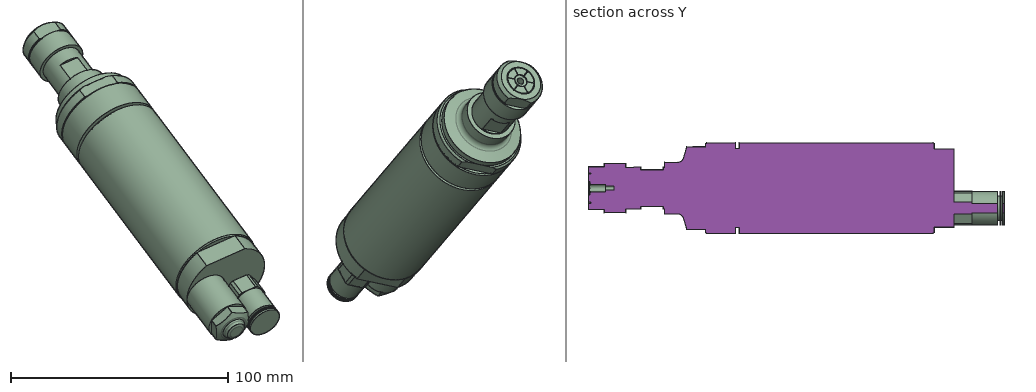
import cadquery as cq
import math


NUT_DIAMETER = 22.8
NUT_FACE_DIAMETER = 19.6
NUT_CHAMFER_LENGTH = 1.5
NUT_GROOVE_START = 6.7
NUT_GROOVE_END = 7.3
NUT_GROOVE_DIAMETER = 22.2
NUT_FLATS_WIDTH = 19.8
NUT_END = 17.3

COLLET_DIAMETER = 13.2
COLLET_OPENING_DIAMETER = 13.7
COLLET_GAP_DEPTH = 1.0
COLLET_HUB_DIAMETER = 6.0
COLLET_BORES = ((0.5, COLLET_HUB_DIAMETER), (7.9, 3.1), (11.8, 1.6))
COLLET_SLOT_COUNT = 6
COLLET_SLOT_WIDTH = 0.2
COLLET_SLOT_DEPTH = 4.0

SHAFT_DIAMETER = 19.5
SHAFT_FLATS_START = 24.2
SHAFT_FLATS_END = 34.4
SHAFT_FLATS_WIDTH = 17.0

NECK_START = 35.0
NECK_DIAMETER = 24.0
NECK_FILLET_START = 41.0
NECK_FILLET_RADIUS = 2.7
RING_START = 45.2
RING_DIAMETER = 38.3

CAP_START = 48.1
CAP_FACE_DIAMETER = 40.0
CAP_CHAMFER_LENGTH = 1.0
CAP_FLATS_WIDTH = 38.3

BODY_DIAMETER = 42.0
BODY_START = 53.8
BODY_END = 159.3
BODY_CHAMFER = 0.5
GROOVE_START = 67.8
GROOVE_END = 69.3
GROOVE_DIAMETER = 36.5

FLANGE_DIAMETER = 41.5
FLANGE_FLATS_WIDTH = 36.1
FLANGE_END = 168.3

INLET_Y = -10.6
INLET_Z = 0.0
INLET_DIAMETER = 19.8
INLET_END = 188.4
INLET_HEX_WIDTH = 16.9
INLET_HEX_CHAMFER_START = 192.3
INLET_HEX_CHAMFER_DIAMETER = 19.5
INLET_HEX_END = 193.9
INLET_HEX_FACE_DIAMETER = 13.2
INLET_TIP_PROFILE = (
    (INLET_HEX_END, INLET_HEX_FACE_DIAMETER),
    (194.0, 11.4),
    (194.8, 10.5),
    (196.0, 9.0),
    (196.5, 6.5),
)

HOSE_Y = 7.5
HOSE_Z = -9.2
HOSE_HEX_WIDTH = 15.7
HOSE_HEX_CORNER_DIAMETER = 17.3
HOSE_HEX_END = 176.5
HOSE_DIAMETER = 15.5
HOSE_BODY_END = 188.4
HOSE_STEM_DIAMETER = 11.4
HOSE_RINGS = ((189.3, 190.0), (190.5, 191.5))


def cylinder(start, end, diameter, y=0.0, z=0.0):
    """Cylinder along X between two stations."""
    return cq.Workplane("YZ", origin=(start, y, z)).circle(diameter / 2).extrude(end - start)


def turned(profile):
    """Solid of revolution about X through (station, diameter) pairs."""
    outline = [(x, diameter / 2) for x, diameter in profile]
    first_x = outline[0][0]
    last_x = outline[-1][0]
    return (
        cq.Workplane("XY")
        .polyline([(first_x, 0), *outline, (last_x, 0)])
        .close()
        .revolve(360, (0, 0, 0), (1, 0, 0))
    )


def tube(start, end, outer_diameter, inner_diameter):
    """Ring around the X axis between two stations."""
    return cylinder(start, end, outer_diameter).cut(cylinder(start, end, inner_diameter))


def hexagon(start, end, width, turn, y, z):
    """Hexagonal prism along X; at zero turn two corners point along Y."""
    corner_diameter = width / math.cos(math.pi / 6)
    prism = cq.Workplane("YZ", origin=(start, y, z)).polygon(6, corner_diameter).extrude(end - start)
    return prism.rotate((0, y, z), (1, y, z), turn)


def cut_flats(solid, start, end, width):
    """Mill two flats facing +Z and -Z, a given width apart."""
    blank = BODY_DIAMETER * 2
    length = end - start
    removed = (
        cq.Workplane("XY")
        .box(length, blank, blank)
        .cut(cq.Workplane("XY").box(length, blank, width))
        .translate((start + length / 2, 0, 0))
    )
    return solid.cut(removed)


def collet_nut():
    nut = turned([(0, NUT_FACE_DIAMETER), (NUT_CHAMFER_LENGTH, NUT_DIAMETER), (NUT_END, NUT_DIAMETER)])
    nut = nut.cut(tube(NUT_GROOVE_START, NUT_GROOVE_END, NUT_DIAMETER, NUT_GROOVE_DIAMETER))
    nut = cut_flats(nut, 0, NUT_GROOVE_END, NUT_FLATS_WIDTH)
    nut = nut.cut(tube(0, COLLET_GAP_DEPTH, COLLET_OPENING_DIAMETER, COLLET_DIAMETER))
    for depth, diameter in COLLET_BORES:
        nut = nut.cut(cylinder(0, depth, diameter))
    slot_length = (COLLET_DIAMETER - COLLET_HUB_DIAMETER) / 2
    slot_middle = (COLLET_DIAMETER + COLLET_HUB_DIAMETER) / 4
    slot = cq.Workplane("XY").box(COLLET_SLOT_DEPTH, slot_length, COLLET_SLOT_WIDTH)
    slot = slot.translate((COLLET_SLOT_DEPTH / 2, slot_middle, 0))
    for i in range(COLLET_SLOT_COUNT):
        nut = nut.cut(slot.rotate((0, 0, 0), (1, 0, 0), i * 360 / COLLET_SLOT_COUNT))
    return nut


def shaft():
    rod = cylinder(NUT_END, NECK_START, SHAFT_DIAMETER)
    return cut_flats(rod, SHAFT_FLATS_START, SHAFT_FLATS_END, SHAFT_FLATS_WIDTH)


def neck():
    neck_r = NECK_DIAMETER / 2
    ring_r = RING_DIAMETER / 2
    center_x = NECK_FILLET_START
    center_r = neck_r + NECK_FILLET_RADIUS
    dx = RING_START - center_x
    dr = ring_r - center_r
    reach = math.hypot(dx, dr)
    end_angle = math.atan2(dr, dx) - math.acos(NECK_FILLET_RADIUS / reach)
    mid_angle = (end_angle - math.pi / 2) / 2

    def on_fillet(angle):
        return (
            center_x + NECK_FILLET_RADIUS * math.cos(angle),
            center_r + NECK_FILLET_RADIUS * math.sin(angle),
        )

    return (
        cq.Workplane("XY")
        .moveTo(NECK_START, 0)
        .lineTo(NECK_START, neck_r)
        .lineTo(NECK_FILLET_START, neck_r)
        .threePointArc(on_fillet(mid_angle), on_fillet(end_angle))
        .lineTo(RING_START, ring_r)
        .lineTo(CAP_START, ring_r)
        .lineTo(CAP_START, 0)
        .close()
        .revolve(360, (0, 0, 0), (1, 0, 0))
    )


def front_cap():
    cap = turned([
        (CAP_START, CAP_FACE_DIAMETER),
        (CAP_START + CAP_CHAMFER_LENGTH, BODY_DIAMETER),
        (BODY_START, BODY_DIAMETER),
    ])
    return cut_flats(cap, CAP_START, BODY_START, CAP_FLATS_WIDTH)


def body():
    barrel = cylinder(BODY_START, BODY_END, BODY_DIAMETER).edges("%CIRCLE").chamfer(BODY_CHAMFER)
    return barrel.cut(tube(GROOVE_START, GROOVE_END, BODY_DIAMETER, GROOVE_DIAMETER))


def flange():
    disc = cylinder(BODY_END, FLANGE_END, FLANGE_DIAMETER)
    return cut_flats(disc, BODY_END, FLANGE_END, FLANGE_FLATS_WIDTH)


def inlet_fitting():
    sleeve = cylinder(FLANGE_END, INLET_END, INLET_DIAMETER, INLET_Y, INLET_Z)
    nut = hexagon(INLET_END, INLET_HEX_END, INLET_HEX_WIDTH, 90, INLET_Y, INLET_Z)
    chamfered = turned([
        (INLET_END, INLET_HEX_CHAMFER_DIAMETER),
        (INLET_HEX_CHAMFER_START, INLET_HEX_CHAMFER_DIAMETER),
        (INLET_HEX_END, INLET_HEX_FACE_DIAMETER),
    ]).translate((0, INLET_Y, INLET_Z))
    tip = turned(INLET_TIP_PROFILE).translate((0, INLET_Y, INLET_Z))
    return sleeve.union(nut.intersect(chamfered)).union(tip)


def hose_fitting():
    corner_trim = cylinder(FLANGE_END, HOSE_HEX_END, HOSE_HEX_CORNER_DIAMETER, HOSE_Y, HOSE_Z)
    nut = hexagon(FLANGE_END, HOSE_HEX_END, HOSE_HEX_WIDTH, 0, HOSE_Y, HOSE_Z).intersect(corner_trim)
    fitting = nut.union(cylinder(HOSE_HEX_END, HOSE_BODY_END, HOSE_DIAMETER, HOSE_Y, HOSE_Z))
    stem_end = HOSE_RINGS[-1][1]
    fitting = fitting.union(cylinder(HOSE_BODY_END, stem_end, HOSE_STEM_DIAMETER, HOSE_Y, HOSE_Z))
    for start, end in HOSE_RINGS:
        fitting = fitting.union(cylinder(start, end, HOSE_DIAMETER, HOSE_Y, HOSE_Z))
    return fitting


result = (
    collet_nut()
    .union(shaft())
    .union(neck())
    .union(front_cap())
    .union(body())
    .union(flange())
    .union(inlet_fitting())
    .union(hose_fitting())
)